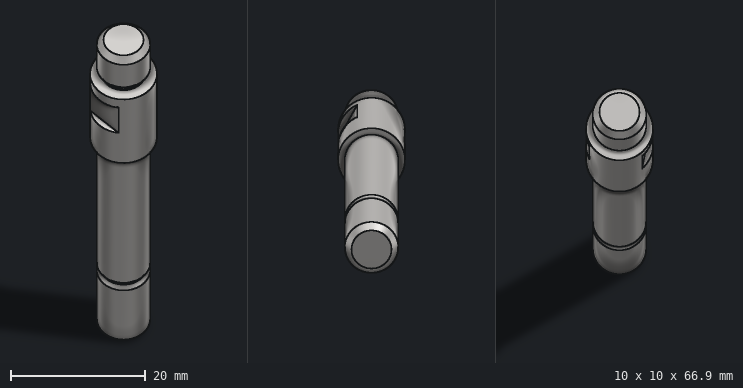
import cadquery as cq

length = 66.9
shaft_radius = 7.95 / 2
end_chamfer = 1.0

collar_radius = 10.0 / 2
collar_length = 15.0
top_stud_length = 7.95
collar_top = length - top_stud_length
collar_bottom = collar_top - collar_length
flat_spacing = 2 * shaft_radius
flat_height = 5.95
flat_offset = 2.0

neck_radius = 3.4
cone_height = 0.6
neck_height = 0.5
thread_length = 6.35
upper_groove_top = length - thread_length
upper_root_radius = 3.2
lower_groove_top = 14.4
lower_groove_bottom = 12.65


def make_body():
    """Revolve the half profile of the stepped pin about Z."""
    upper_neck_top = upper_groove_top - cone_height
    lower_neck_top = lower_groove_top - cone_height
    profile = [
        (0, 0),
        (shaft_radius - end_chamfer, 0),
        (shaft_radius, end_chamfer),
        (shaft_radius, lower_groove_bottom),
        (neck_radius, lower_neck_top - neck_height),
        (neck_radius, lower_neck_top),
        (shaft_radius, lower_groove_top),
        (shaft_radius, collar_bottom),
        (collar_radius, collar_bottom),
        (collar_radius, collar_top),
        (upper_root_radius, collar_top),
        (neck_radius, upper_neck_top - neck_height),
        (neck_radius, upper_neck_top),
        (shaft_radius, upper_groove_top),
        (shaft_radius, length - end_chamfer),
        (shaft_radius - end_chamfer, length),
        (0, length),
    ]
    return cq.Workplane("XZ").polyline(profile).close().revolve(360, (0, 0), (0, 1))


def make_flat_cutter(side):
    """Block that removes the collar beyond one flat; side is -1 or +1 along Y."""
    depth = collar_radius
    center_y = side * (flat_spacing + depth) / 2
    center_z = collar_top - flat_offset - flat_height / 2
    return cq.Workplane("XY").box(2 * collar_radius, depth, flat_height).translate((0, center_y, center_z))


result = make_body()
for side in (-1, 1):
    result = result.cut(make_flat_cutter(side))